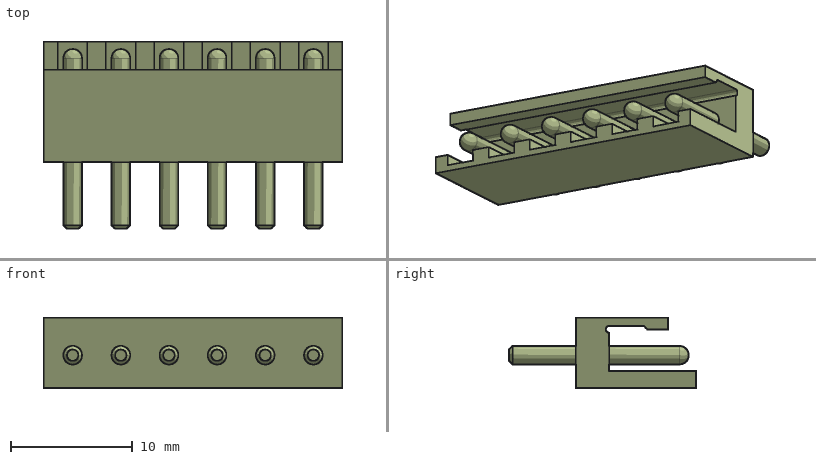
import cadquery as cq
import math

HOUSING_LENGTH = 24.56
HOUSING_HEIGHT = 5.8
SHELF_REACH = 9.9
SHELF_THICKNESS = 1.4
WALL_THICKNESS = 2.75
LIP_REACH = 7.6
LIP_THICKNESS = 0.7
LIP_TOOTH_DEPTH = 0.3
LIP_TOOTH_LENGTH = 1.7
RELIEF_RADIUS = 0.27

PIN_COUNT = 6
PIN_PITCH = 3.96
PIN_DIAMETER = 1.54
PIN_HEIGHT = 2.7
PIN_TAIL = 5.5
PIN_REACH = 9.3
PIN_CHAMFER = 0.3

GROOVE_WIDTH = 2.44
GROOVE_DEPTH = 0.9

PIN_RADIUS = PIN_DIAMETER / 2
PIN_POSITIONS = [(i - (PIN_COUNT - 1) / 2) * PIN_PITCH for i in range(PIN_COUNT)]


def make_housing():
    """C-shaped profile in the YZ plane, extruded along X."""
    lip_underside = HOUSING_HEIGHT - LIP_THICKNESS
    tooth_underside = lip_underside - LIP_TOOTH_DEPTH
    tooth_end = LIP_REACH - LIP_TOOTH_LENGTH
    relief_middle = (WALL_THICKNESS - RELIEF_RADIUS, lip_underside - RELIEF_RADIUS)
    relief_bottom = (WALL_THICKNESS, lip_underside - 2 * RELIEF_RADIUS)
    return (
        cq.Workplane("YZ")
        .moveTo(0, 0)
        .lineTo(SHELF_REACH, 0)
        .lineTo(SHELF_REACH, SHELF_THICKNESS)
        .lineTo(WALL_THICKNESS, SHELF_THICKNESS)
        .lineTo(*relief_bottom)
        .threePointArc(relief_middle, (WALL_THICKNESS, lip_underside))
        .lineTo(tooth_end - LIP_TOOTH_DEPTH, lip_underside)
        .lineTo(tooth_end, tooth_underside)
        .lineTo(LIP_REACH, tooth_underside)
        .lineTo(LIP_REACH, HOUSING_HEIGHT)
        .lineTo(0, HOUSING_HEIGHT)
        .close()
        .extrude(HOUSING_LENGTH / 2, both=True)
    )


def make_groove(x):
    """Groove in the shelf top, from the wall out through the free edge."""
    return cq.Workplane("XY").box(
        GROOVE_WIDTH, SHELF_REACH - WALL_THICKNESS, GROOVE_DEPTH, centered=(True, False, False)
    ).translate((x, WALL_THICKNESS, SHELF_THICKNESS - GROOVE_DEPTH))


def make_pin(x):
    """Round pin along Y with a chamfered tail and a hemispherical tip."""
    dome_start = PIN_REACH - PIN_RADIUS
    diagonal = PIN_RADIUS * math.sqrt(0.5)
    return (
        cq.Workplane("XY")
        .moveTo(0, -PIN_TAIL)
        .lineTo(PIN_RADIUS - PIN_CHAMFER, -PIN_TAIL)
        .lineTo(PIN_RADIUS, -PIN_TAIL + PIN_CHAMFER)
        .lineTo(PIN_RADIUS, dome_start)
        .threePointArc((diagonal, dome_start + diagonal), (0, PIN_REACH))
        .close()
        .revolve(360, (0, 0, 0), (0, 1, 0))
        .translate((x, 0, PIN_HEIGHT))
    )


result = make_housing()
for pin_x in PIN_POSITIONS:
    result = result.cut(make_groove(pin_x)).union(make_pin(pin_x))